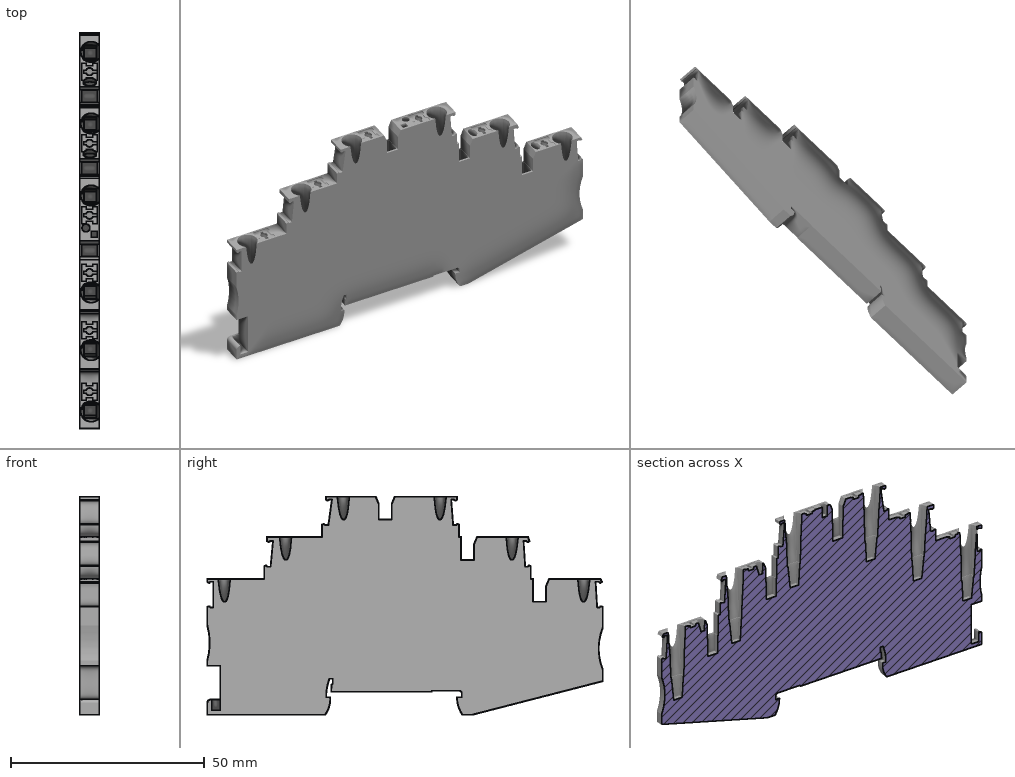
import cadquery as cq

thickness = 5.1
length = 102.2
end = length / 2
tier_tops = (35.2, 46.0, 56.4)
low_top, mid_top, high_top = tier_tops

slot_depth = 5.9
slot_width = 3.3
slot_chamfer_width = 0.8
slot_chamfer_height = 1.9
low_slot_front = 33.1
mid_slot_front = 14.5
high_slot_front = -6.7
slot_fronts = (low_slot_front, mid_slot_front, high_slot_front)
slot_floors = tuple(top - slot_depth for top in tier_tops)
slot_pocket_width = 4.1
slot_pocket_depth = 5.1
slot_pocket_margin = 0.1

lip_thickness = 0.8
mid_lip_thickness = 1.1
lip_bevel = 0.4
hook_height = 0.3
recess_height = 6.5
ledge_height = 0.1
bead_height = 0.3
hook_tip_width = 0.5
hook_root_width = 0.8

mid_rear_riser, high_rear_riser = 32.5, 14.0
mid_front_riser, high_front_riser = -36.4, -21.5

foot_height = 4.6
rail_face_height = 5.9
rail_relief_height = 6.2
rail_relief_start = 7.0
fixed_foot_root = 14.6
slit_top = 9.3
slit_start = -18.7

notch_wall_y = -47.7
notch_floor = 4.0
notch_ceiling = 12.7
toe_round = 0.9
toe_thickness = 1.1
release_pocket_depth = 2.8
release_pocket_wall = 0.5

funnel_x = 0.4
funnel_radius = 2.7
throat_x = 0.15
throat_width = 3.1
throat_length = 3.6
throat_step = 0.15
throat_shift = 0.2
throat_depth = 14.3
floor_length = 2.6
floor_shift = 0.36
floor_depth = 20.4

button_offset = 5.1
button_width = 4.1
button_length = 4.4
button_notch_width = 1.7
button_notch_depth = 0.6
button_recess = 0.2
driver_slot_start = -1.4
driver_slot_width = 0.8
driver_hole_radius = 0.97
driver_depth = 0.6

terminals = (
    (46.2, low_top, -1),
    (27.7, mid_top, -1),
    (9.1, high_top, -1),
    (-15.9, high_top, 1),
    (-30.9, mid_top, 1),
    (-46.7, low_top, 1),
)

probe_x = 0.1
probe_width = 3.4
probe_length = 2.0
probe_floor_length = 1.0
probe_depth = 3.1
probes = ((38.4, low_top), (19.9, mid_top))
lamp_hole_x, lamp_hole_y, lamp_hole_radius = -0.9, 0.7, 1.0
small_hole_depth = 3.1
square_hole_x, square_hole_y, square_hole_side = 1.2, -0.9, 1.5


def end_recess(side, top, tip, wall_top, wall_bottom, ledge, lip=lip_thickness, bevel=0):
    """Profile points of a lip, its recess and the ledge below, from the lip down; side is the Y sign."""
    lip_base = top - lip
    floor = lip_base - recess_height
    return [
        (tip - side * bevel, top),
        (tip, lip_base),
        (tip - side * hook_tip_width, lip_base - hook_height),
        (tip - side * hook_root_width, lip_base),
        (wall_top, lip_base),
        (wall_bottom, floor),
        (ledge - side * hook_root_width, floor),
        (ledge - side * hook_tip_width, floor + bead_height),
        (ledge, floor + ledge_height),
    ]


def slot_points(front, top, back_wall_top):
    """Profile points of a slot from its chamfered +Y edge to the top of its -Y wall."""
    back = front + slot_width
    return [
        (back + slot_chamfer_width, top),
        (back, top - slot_chamfer_height),
        (back, top - slot_depth),
        (front, top - slot_depth),
        (front, back_wall_top),
    ]


def body():
    stepped_top = (
        end_recess(1, low_top, 50.9, 49.3, 49.7, end, bevel=lip_bevel)[::-1]
        + slot_points(low_slot_front, low_top, low_top)
        + [(mid_rear_riser, low_top)]
        + end_recess(1, mid_top, 32.2, 30.7, 31.1, mid_rear_riser, mid_lip_thickness, lip_bevel)[::-1]
        + slot_points(mid_slot_front, mid_top, mid_top)
        + [(high_rear_riser, mid_top)]
        + end_recess(1, high_top, 13.5, 12.0, 12.5, high_rear_riser)[::-1]
        + slot_points(high_slot_front, high_top, high_top - slot_chamfer_height)
        + [(high_slot_front - slot_chamfer_width, high_top)]
        + end_recess(-1, high_top, -20.4, -18.9, -19.8, high_front_riser)
        + [(high_front_riser, mid_top)]
        + end_recess(-1, mid_top, -35.7, -34.1, -34.7, mid_front_riser, mid_lip_thickness)
        + [(mid_front_riser, low_top)]
        + end_recess(-1, low_top, -end, -49.6, -49.6, -end)
    )
    return (
        cq.Workplane("YZ", origin=(-thickness / 2, 0, 0))
        .moveTo(17.4, 0)
        .lineTo(end, 8.7)
        .lineTo(end, 11.8)
        .threePointArc((50.1, 17.4), (end, 22.5))
        .polyline(stepped_top, includeCurrent=True)
        .lineTo(-end, 23.1)
        .threePointArc((-50.5, 18.7), (-end, 14.1))
        .lineTo(-end, notch_ceiling)
        .lineTo(notch_wall_y, notch_ceiling)
        .lineTo(notch_wall_y, notch_floor)
        .lineTo(toe_round - end, notch_floor)
        .radiusArc((-end, notch_floor - toe_round), -toe_round)
        .lineTo(-end, 0)
        .lineTo(-20.6, 0)
        .threePointArc((-19.6, 1.9), (-19.3, foot_height))
        .lineTo(-20.3, foot_height)
        .threePointArc((-20.1, 7.1), (-19.5, slit_top))
        .lineTo(slit_start, slit_top)
        .lineTo(slit_start, 8.1)
        .lineTo(-19.0, 7.8)
        .lineTo(-19.1, rail_face_height)
        .lineTo(rail_relief_start, rail_face_height)
        .lineTo(rail_relief_start, rail_relief_height)
        .lineTo(14.2, rail_relief_height)
        .lineTo(fixed_foot_root, 5.8)
        .lineTo(fixed_foot_root, foot_height)
        .lineTo(13.4, foot_height)
        .threePointArc((13.8, 2.0), (14.8, 0))
        .close()
        .extrude(thickness)
    )


def slot_pocket(front, floor):
    return (
        cq.Workplane("XY", origin=(0, front + slot_width / 2, floor))
        .rect(slot_pocket_width, slot_width - 2 * slot_pocket_margin)
        .extrude(-slot_pocket_depth)
    )


def release_pocket():
    corner = (release_pocket_wall - thickness / 2, toe_thickness - end, notch_floor - release_pocket_depth)
    pocket_width = thickness - release_pocket_wall
    pocket_length = end + notch_wall_y - toe_thickness
    return cq.Workplane("XY", origin=corner).box(
        pocket_width, pocket_length, release_pocket_depth, centered=False
    )


def wire_funnel(y, top, inward):
    throat_y = y + inward * throat_shift
    floor_y = y + inward * floor_shift
    mouth = (
        cq.Workplane("XY", origin=(funnel_x, y, top))
        .circle(funnel_radius)
        .workplane(offset=-throat_depth)
        .center(throat_x - funnel_x, throat_y - y)
        .rect(throat_width + 2 * throat_step, throat_length + 2 * throat_step)
        .loft(ruled=True)
    )
    throat = (
        cq.Workplane("XY", origin=(throat_x, throat_y, top - throat_depth))
        .rect(throat_width, throat_length)
        .workplane(offset=throat_depth - floor_depth)
        .center(0, floor_y - throat_y)
        .rect(throat_width, floor_length)
        .loft(ruled=True)
    )
    return mouth.union(throat)


def release_button(y, top):
    """Shallow frame notched at both ends, with a driver slot and a round hole sunk in its face."""
    face = top - button_recess
    notch_y = (button_length - button_notch_depth) / 2
    slot_length_x = button_width / 2 - driver_slot_start
    frame = cq.Workplane("XY", origin=(0, y, face)).rect(button_width, button_length).extrude(button_recess)
    notches = (
        cq.Workplane("XY", origin=(0, y, face))
        .pushPoints([(0, notch_y), (0, -notch_y)])
        .rect(button_notch_width, button_notch_depth)
        .extrude(button_recess)
    )
    driver_plane = cq.Workplane("XY", origin=(0, y, face - driver_depth))
    driver_hole = driver_plane.circle(driver_hole_radius).extrude(driver_depth)
    driver_slot = (
        driver_plane.center(driver_slot_start + slot_length_x / 2, 0)
        .rect(slot_length_x, driver_slot_width)
        .extrude(driver_depth)
    )
    return frame.cut(notches).union(driver_hole).union(driver_slot)


def probe_hole(y, top):
    """Oval hole whose +Y side slopes inward while its -Y side stays upright."""
    return (
        cq.Workplane("XY", origin=(probe_x, y, top))
        .ellipse(probe_width / 2, probe_length / 2)
        .workplane(offset=-probe_depth)
        .center(0, (probe_floor_length - probe_length) / 2)
        .ellipse(probe_width / 2, probe_floor_length / 2)
        .loft(ruled=True)
    )


result = body()
for slot_front, slot_floor in zip(slot_fronts, slot_floors):
    result = result.cut(slot_pocket(slot_front, slot_floor))
for funnel_y, tier_top, inward in terminals:
    result = result.cut(wire_funnel(funnel_y, tier_top, inward))
    result = result.cut(release_button(funnel_y + inward * button_offset, tier_top))
for probe_y, tier_top in probes:
    result = result.cut(probe_hole(probe_y, tier_top))

top_plane = cq.Workplane("XY", origin=(0, 0, high_top))
lamp_hole = top_plane.center(lamp_hole_x, lamp_hole_y).circle(lamp_hole_radius).extrude(-small_hole_depth)
square_hole = (
    top_plane.center(square_hole_x, square_hole_y)
    .rect(square_hole_side, square_hole_side)
    .extrude(-small_hole_depth)
)
result = result.cut(lamp_hole).cut(square_hole).cut(release_pocket())